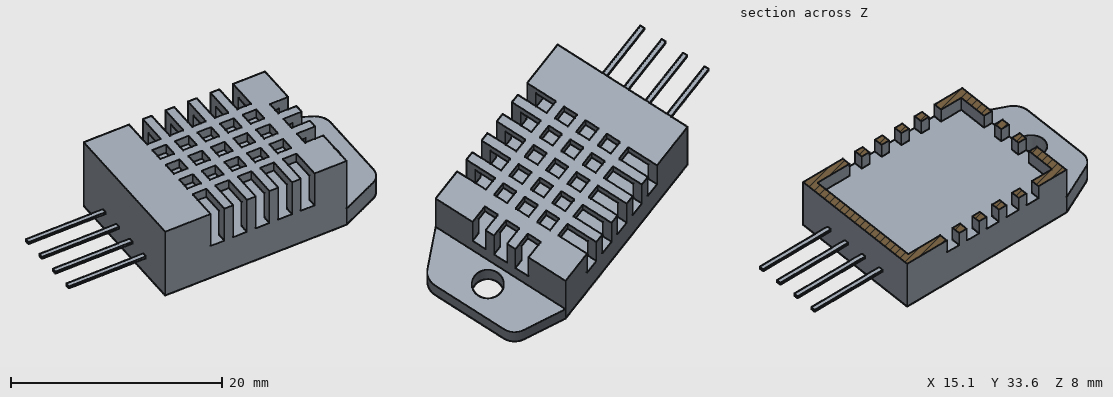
import cadquery as cq

body_width = 15.1
body_length = 20.0
body_height = 8.0
front_y = -body_length

wall = 1.0
floor_z = body_height / 2
lid_bottom_z = body_height - wall

vent_size = 1.5
vent_pitch = 2.5
vent_rows = 5
vent_columns = 3
last_row_to_front = 5.0
side_slot_inner_x = 4.2
back_notch_length = 2.0

tab_length = 5.1
tab_thickness = 2.0
tab_end_width = 10.2
tab_corner_radius = 1.8
tab_hole_diameter = 3.02
tab_hole_to_end = 3.02

pin_count = 4
pin_pitch = 2.5
pin_length = 8.5
pin_width = 0.5
pin_thickness = 0.252
pin_bottom_z = 2.0


def block(x_range, y_range, z_range):
    """Box spanning the given (low, high) ranges."""
    sizes = [high - low for low, high in (x_range, y_range, z_range)]
    corner = (x_range[0], y_range[0], z_range[0])
    return cq.Workplane("XY").box(*sizes, centered=False).translate(corner)


def span(center, size):
    """(low, high) range of the given size about a centre."""
    return (center - size / 2, center + size / 2)


def centered_positions(count, pitch):
    """Evenly spaced positions, symmetric about zero."""
    return [(i - (count - 1) / 2) * pitch for i in range(count)]


column_xs = centered_positions(vent_columns, vent_pitch)
last_row_y = front_y + last_row_to_front + vent_size / 2
row_ys = [last_row_y + i * vent_pitch for i in range(vent_rows)]


def housing():
    """Closed box with the cavity under its lid."""
    body = block(span(0, body_width), (front_y, 0), (0, body_height))
    cavity = block(
        span(0, body_width - 2 * wall),
        (front_y + wall, -wall),
        (floor_z, lid_bottom_z),
    )
    return body.cut(cavity)


def cut_vents(body):
    """Lid holes, the slots open to both sides and the notches open to the back."""
    half_width = body_width / 2
    for y in row_ys:
        row_range = span(y, vent_size)
        for x in column_xs:
            body = body.cut(block(span(x, vent_size), row_range, (floor_z, body_height)))
        for side_range in ((-half_width, -side_slot_inner_x), (side_slot_inner_x, half_width)):
            body = body.cut(block(side_range, row_range, (floor_z, body_height)))
    for x in column_xs:
        body = body.cut(block(span(x, vent_size), (-back_notch_length, 0), (floor_z, body_height)))
    return body


def mounting_tab():
    """Tapered plate with rounded end corners and a screw hole."""
    plate = (
        cq.Workplane("XY")
        .moveTo(-body_width / 2, 0)
        .lineTo(body_width / 2, 0)
        .lineTo(tab_end_width / 2, tab_length)
        .lineTo(-tab_end_width / 2, tab_length)
        .close()
        .extrude(tab_thickness)
    )
    plate = plate.edges("|Z and >Y").fillet(tab_corner_radius)
    hole = (
        cq.Workplane("XY")
        .center(0, tab_length - tab_hole_to_end)
        .circle(tab_hole_diameter / 2)
        .extrude(tab_thickness)
    )
    return plate.cut(hole)


def pins():
    """Row of flat connector pins reaching forward from the front face."""
    row = cq.Workplane("XY")
    for x in centered_positions(pin_count, pin_pitch):
        pin = block(
            span(x, pin_width),
            (front_y - pin_length, front_y),
            (pin_bottom_z, pin_bottom_z + pin_thickness),
        )
        row = row.add(pin)
    return row.combine()


result = cut_vents(housing()).union(mounting_tab()).union(pins())